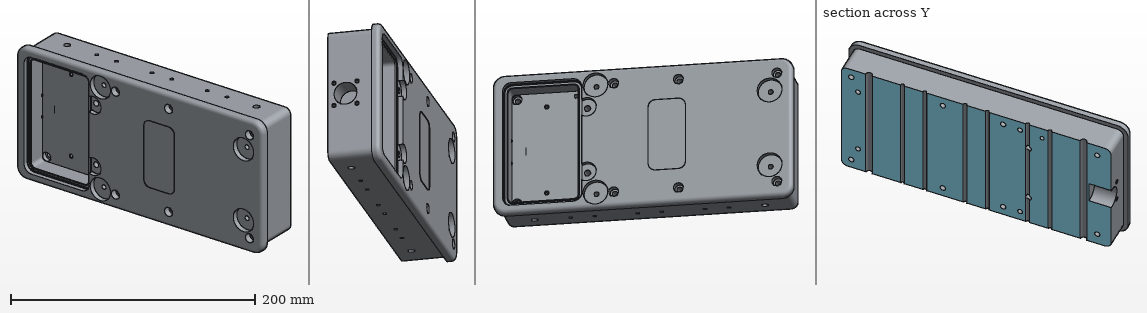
import cadquery as cq
import math

LENGTH = 250.0
DEPTH = 45.0
HEIGHT = 120.0
FRONT_Y = -DEPTH / 2
BACK_Y = DEPTH / 2

OVERHANG_X = 4.0
OVERHANG_Z = 4.0
FLANGE_THICKNESS = 7.0
FLANGE_CORNER_RADIUS = 10.0
FLANGE_EDGE_RADIUS = 3.5
BOX_LENGTH = LENGTH - 2 * OVERHANG_X
BOX_HEIGHT = HEIGHT - 2 * OVERHANG_Z
BOX_CORNER_RADIUS = FLANGE_CORNER_RADIUS - OVERHANG_X

POCKET_X = -83.7
SEAT_LENGTH = 66.0
SEAT_HEIGHT = 106.4
SEAT_CORNER_RADIUS = 7.5
SEAT_DEPTH = 4.3
SEAT_WIDTH = 3.9
GROOVE_MARGIN = 0.8
GROOVE_WIDTH = SEAT_WIDTH - 2 * GROOVE_MARGIN
GROOVE_DEPTH = 1.5
WELL_DEPTH = 20.0
WELL_FLOOR_Y = FRONT_Y + WELL_DEPTH

WELL_SCREW_LEFT_X = -108.4
WELL_SCREW_RIGHT_X = -59.0
WELL_SCREW_Z = 45.0
WELL_SCREW_DIAMETER = 4.3
WELL_PLAIN_DIAMETER = 3.3
WELL_SCREW_HEAD_DIAMETER = 8.0
WELL_SCREW_HEAD_DEPTH = 4.0
WELL_TAP_Z = 37.3

LABEL_X = 20.1
LABEL_LENGTH = 31.0
LABEL_HEIGHT = 61.0
LABEL_CORNER_RADIUS = 6.0
LABEL_DEPTH = 0.5

SCREW_XS = (-24.1, 29.8, 111.8)
SCREW_Z = 47.0
SCREW_DIAMETER = 4.5
SCREW_HEAD_DIAMETER = 8.0
SCREW_HEAD_DEPTH = 6.0
FOOT_POSITIONS = ((-39.3, 46.5), (105.8, 32.4))
FOOT_DIAMETER = 4.0
FOOT_RECESS_DIAMETER = 20.6
FOOT_RECESS_DEPTH = 5.0
LATCH_X = -46.7
LATCH_Z = 28.0
LATCH_DIAMETER = 5.0
LATCH_RECESS_DIAMETER = 16.0
LATCH_RECESS_DEPTH = SEAT_DEPTH

CROSS_HOLE_Y = BACK_Y - 13.5
CROSS_PAIR_XS = (-56.0, 0.0, 56.0)
CROSS_PAIR_SPACING = 20.0
CROSS_SMALL_DIAMETER = 3.0
CROSS_LARGE_X = 96.0
CROSS_LARGE_DIAMETER = 5.5

CONNECTOR_Y = BACK_Y - 15.0
CONNECTOR_DIAMETER = 19.2
CONNECTOR_DEPTH = 20.0
CONNECTOR_SCREW_SPACING = 19.5

TAP_MOUTH_DIAMETER = 3.6
TAP_PILOT_DIAMETER = 2.4
TAP_DEPTH = 8.0
TAP_COUNTERSINK_DEPTH = (TAP_MOUTH_DIAMETER - TAP_PILOT_DIAMETER) / 2
TAP_POINT_HALF_ANGLE = math.radians(59)
TAP_POINT_LENGTH = TAP_PILOT_DIAMETER / 2 / math.tan(TAP_POINT_HALF_ANGLE)


def rounded_block(x, length, height, radius, start_y, depth):
    """Block centred on Z = 0, with rounded corners, running from start_y toward +Y."""
    block = cq.Workplane("XY").box(length, depth, height).edges("|Y").fillet(radius)
    return block.translate((x, start_y + depth / 2, 0))


def cylinder_y(x, z, diameter, start_y, depth):
    """Cylinder along +Y."""
    start = cq.Vector(x, start_y, z)
    return cq.Workplane(cq.Solid.makeCylinder(diameter / 2, depth, start, cq.Vector(0, 1, 0)))


def counterbore(x, z, diameter, head_diameter, head_depth, start_y=FRONT_Y):
    """Through hole to the back with a wider recess where it starts."""
    head = cylinder_y(x, z, head_diameter, start_y, head_depth)
    return cylinder_y(x, z, diameter, start_y, BACK_Y - start_y).union(head)


def tapped_hole(entry, direction):
    """Blind tapped hole starting at the entry point and running along the direction."""
    pilot_radius = TAP_PILOT_DIAMETER / 2
    hole = cq.Workplane(cq.Solid.makeCylinder(pilot_radius, TAP_DEPTH, entry, direction))
    hole = hole.union(cq.Workplane(cq.Solid.makeCone(TAP_MOUTH_DIAMETER / 2, pilot_radius,
                                                     TAP_COUNTERSINK_DEPTH, entry, direction)))
    return hole.union(cq.Workplane(cq.Solid.makeCone(pilot_radius, 0, TAP_POINT_LENGTH,
                                                     entry + direction * TAP_DEPTH, direction)))


def make_body():
    flange = rounded_block(0, LENGTH, HEIGHT, FLANGE_CORNER_RADIUS, FRONT_Y, FLANGE_THICKNESS)
    flange = flange.faces("<Y").edges().fillet(FLANGE_EDGE_RADIUS)
    box_start = FRONT_Y + FLANGE_THICKNESS
    box_depth = DEPTH - FLANGE_THICKNESS
    return flange.union(rounded_block(0, BOX_LENGTH, BOX_HEIGHT, BOX_CORNER_RADIUS, box_start, box_depth))


def inset_pocket(inset, start_y, depth):
    """Pocket outline moved inward from the lid seat by a constant inset."""
    length = SEAT_LENGTH - 2 * inset
    height = SEAT_HEIGHT - 2 * inset
    return rounded_block(POCKET_X, length, height, SEAT_CORNER_RADIUS - inset, start_y, depth)


def cut_pocket(part):
    seat_y = FRONT_Y + SEAT_DEPTH
    groove_outer = inset_pocket(GROOVE_MARGIN, seat_y, GROOVE_DEPTH)
    groove_inner = inset_pocket(GROOVE_MARGIN + GROOVE_WIDTH, seat_y, GROOVE_DEPTH)
    part = part.cut(inset_pocket(0, FRONT_Y, SEAT_DEPTH))
    part = part.cut(groove_outer.cut(groove_inner))
    return part.cut(inset_pocket(SEAT_WIDTH, FRONT_Y, WELL_DEPTH))


def cut_well_holes(part):
    for side in (-1, 1):
        part = part.cut(counterbore(WELL_SCREW_LEFT_X, side * WELL_SCREW_Z, WELL_SCREW_DIAMETER,
                                    WELL_SCREW_HEAD_DIAMETER, WELL_SCREW_HEAD_DEPTH, WELL_FLOOR_Y))
        tap_entry = cq.Vector(POCKET_X, WELL_FLOOR_Y, side * WELL_TAP_Z)
        part = part.cut(tapped_hole(tap_entry, cq.Vector(0, 1, 0)))
    return part.cut(cylinder_y(WELL_SCREW_RIGHT_X, WELL_SCREW_Z, WELL_PLAIN_DIAMETER,
                               WELL_FLOOR_Y, DEPTH - WELL_DEPTH))


def cut_label_recess(part):
    return part.cut(rounded_block(LABEL_X, LABEL_LENGTH, LABEL_HEIGHT, LABEL_CORNER_RADIUS,
                                  FRONT_Y, LABEL_DEPTH))


def cut_front_holes(part):
    for side in (-1, 1):
        for x in SCREW_XS:
            part = part.cut(counterbore(x, side * SCREW_Z, SCREW_DIAMETER,
                                        SCREW_HEAD_DIAMETER, SCREW_HEAD_DEPTH))
        for x, z in FOOT_POSITIONS:
            part = part.cut(counterbore(x, side * z, FOOT_DIAMETER,
                                        FOOT_RECESS_DIAMETER, FOOT_RECESS_DEPTH))
        part = part.cut(counterbore(LATCH_X, side * LATCH_Z, LATCH_DIAMETER,
                                    LATCH_RECESS_DIAMETER, LATCH_RECESS_DEPTH))
    return part


def cut_cross_holes(part):
    half_spacing = CROSS_PAIR_SPACING / 2
    holes = [(-CROSS_LARGE_X, CROSS_LARGE_DIAMETER), (CROSS_LARGE_X, CROSS_LARGE_DIAMETER)]
    for x in CROSS_PAIR_XS:
        holes.append((x - half_spacing, CROSS_SMALL_DIAMETER))
        holes.append((x + half_spacing, CROSS_SMALL_DIAMETER))
    for x, diameter in holes:
        start = cq.Vector(x, CROSS_HOLE_Y, -HEIGHT / 2)
        part = part.cut(cq.Workplane(cq.Solid.makeCylinder(diameter / 2, HEIGHT, start)))
    return part


def cut_connector(part):
    wall = cq.Workplane("YZ", origin=(-BOX_LENGTH / 2, CONNECTOR_Y, 0))
    bore = wall.circle(CONNECTOR_DIAMETER / 2).extrude(CONNECTOR_DEPTH)
    part = part.cut(bore)
    half_spacing = CONNECTOR_SCREW_SPACING / 2
    for side_y in (-1, 1):
        for side_z in (-1, 1):
            entry = cq.Vector(-BOX_LENGTH / 2, CONNECTOR_Y + side_y * half_spacing, side_z * half_spacing)
            part = part.cut(tapped_hole(entry, cq.Vector(1, 0, 0)))
    return part


result = make_body()
result = cut_pocket(result)
result = cut_well_holes(result)
result = cut_label_recess(result)
result = cut_front_holes(result)
result = cut_cross_holes(result)
result = cut_connector(result)